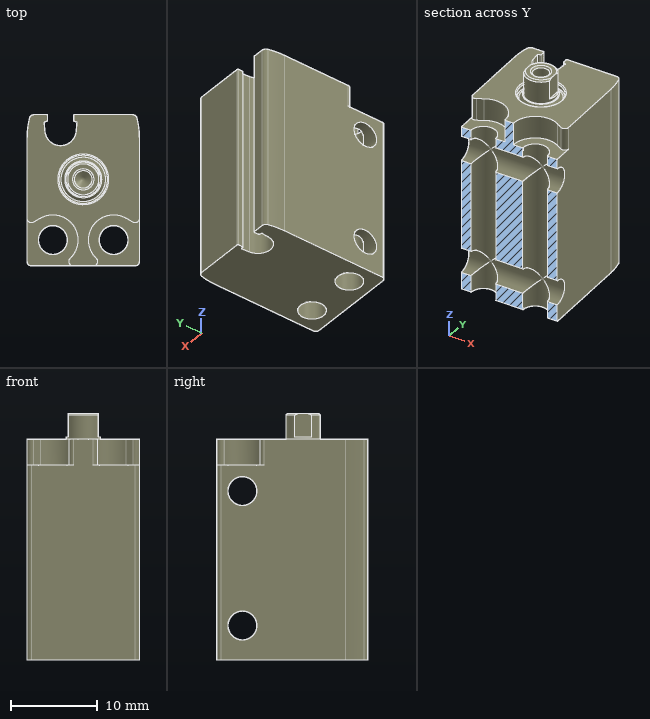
import cadquery as cq
import math

width = 13.0
depth = 17.5
total_height = 28.5
rod_projection = 3.0
housing_height = total_height - rod_projection
half_width = width / 2
corner_radius = 0.5
flank_radius = 9.0
flank_length = 2.62
back_corner_radius = 0.6

hole_diameter = 3.3
hole_x = 3.5
hole_y = 3.0
cross_hole_heights = (4.0, 19.52)
pocket_radius = 2.9
pocket_depth = 3.0
outer_wall_angle = 30.0
inner_wall_angle = 45.0

slot_x = -2.62
slot_depth = 3.6
slot_radius = 1.8
slot_taper = 5.0
throat_width = 3.0
lip_depth = 0.77
lip_slope = 0.1
lip_fillet = 0.1

rod_y = 10.0
rod_diameter = 4.0
rod_embedded = 9.98
rod_chamfer = 0.2
rod_flats = 3.48
flat_start = 0.28
bore_diameter = 2.02
bore_mouth_diameter = 2.45
bore_depth = 5.0
drill_point_angle = 118.0
seat_mouth_diameter = 5.87
seat_diameter = 5.6
seat_depth = 0.68
wiper_base_diameter = 5.13
wiper_top_diameter = 4.28
wiper_top_depth = 0.17


def polar(center, radius, degrees):
    """Point on a circle, with the angle measured from +X."""
    angle = math.radians(degrees)
    return (center[0] + radius * math.cos(angle), center[1] + radius * math.sin(angle))


def make_block():
    flank_start = depth - flank_length
    flank_center_x = half_width - flank_radius

    def flank_x(y):
        return flank_center_x + math.sqrt(flank_radius ** 2 - (y - flank_start) ** 2)

    middle_y = depth - flank_length / 2
    block = (
        cq.Workplane("XY")
        .moveTo(-half_width, 0)
        .lineTo(half_width, 0)
        .lineTo(half_width, flank_start)
        .threePointArc((flank_x(middle_y), middle_y), (flank_x(depth), depth))
        .lineTo(-flank_x(depth), depth)
        .threePointArc((-flank_x(middle_y), middle_y), (-half_width, flank_start))
        .close()
        .extrude(housing_height)
    )
    block = block.edges("|Z and <Y").fillet(corner_radius)
    return block.edges("|Z and >Y").fillet(back_corner_radius)


def make_slot():
    center = (slot_x, depth - slot_depth + slot_radius)
    side_y = depth - lip_depth - lip_slope
    tangent_right = polar(center, slot_radius, -slot_taper)
    side_offset = (
        tangent_right[0] - slot_x
        + (side_y - tangent_right[1]) * math.tan(math.radians(slot_taper))
    )
    throat = throat_width / 2
    lip_y = depth - lip_depth
    return (
        cq.Workplane("XY")
        .moveTo(slot_x - throat, depth)
        .lineTo(slot_x - throat, lip_y)
        .lineTo(slot_x - side_offset, side_y)
        .lineTo(*polar(center, slot_radius, 180 + slot_taper))
        .threePointArc((slot_x, depth - slot_depth), tangent_right)
        .lineTo(slot_x + side_offset, side_y)
        .lineTo(slot_x + throat, lip_y)
        .lineTo(slot_x + throat, depth)
        .close()
        .extrude(housing_height)
    )


def round_slot_lips(body):
    for side in (-1, 1):
        for y in (depth, depth - lip_depth):
            edge_point = (slot_x + side * throat_width / 2, y, housing_height / 2)
            body = body.edges(cq.selectors.NearestToPointSelector(edge_point)).fillet(lip_fillet)
    return body


def make_left_pocket():
    """Relief around the left hole; its wall blends into rounded ends at both faces."""
    center = (-hole_x, hole_y)
    wall_distance = pocket_radius + corner_radius

    outer_normal = 90 + outer_wall_angle
    outer_x = -half_width + corner_radius
    normal_angle = math.radians(outer_normal)
    outer_y = hole_y + (
        (wall_distance - (outer_x + hole_x) * math.cos(normal_angle)) / math.sin(normal_angle)
    )
    outer_end = (outer_x, outer_y)

    inner_normal = -inner_wall_angle
    inner_y = corner_radius
    normal_angle = math.radians(inner_normal)
    inner_x = -hole_x + (
        (wall_distance - (inner_y - hole_y) * math.sin(normal_angle)) / math.cos(normal_angle)
    )
    inner_end = (inner_x, inner_y)

    arc_middle = (outer_normal + inner_normal) / 2
    outer_contact = outer_normal + 180
    inner_contact = inner_normal + 180
    return (
        cq.Workplane("XY", origin=(0, 0, housing_height - pocket_depth))
        .moveTo(-half_width, 0)
        .lineTo(-half_width, outer_y)
        .threePointArc(
            polar(outer_end, corner_radius, (180 + outer_contact) / 2),
            polar(outer_end, corner_radius, outer_contact),
        )
        .lineTo(*polar(center, pocket_radius, outer_normal))
        .threePointArc(
            polar(center, pocket_radius, arc_middle),
            polar(center, pocket_radius, inner_normal),
        )
        .lineTo(*polar(inner_end, corner_radius, inner_contact))
        .threePointArc(
            polar(inner_end, corner_radius, (inner_contact + 270) / 2),
            (inner_x, 0),
        )
        .close()
        .extrude(pocket_depth)
    )


def make_mounting_holes():
    holes = (
        cq.Workplane("XY")
        .pushPoints([(-hole_x, hole_y), (hole_x, hole_y)])
        .circle(hole_diameter / 2)
        .extrude(housing_height)
    )
    cross_holes = (
        cq.Workplane("YZ", origin=(-half_width, 0, 0))
        .pushPoints([(hole_y, z) for z in cross_hole_heights])
        .circle(hole_diameter / 2)
        .extrude(width)
    )
    return holes.union(cross_holes)


def make_rod_seat():
    """Rod bore, opening into a chamfered recess with a conical wiper lip left standing."""
    mouth_chamfer = (seat_mouth_diameter - seat_diameter) / 2
    return (
        cq.Workplane("XZ", origin=(0, rod_y, housing_height))
        .moveTo(0, -rod_embedded)
        .lineTo(rod_diameter / 2, -rod_embedded)
        .lineTo(rod_diameter / 2, -wiper_top_depth)
        .lineTo(wiper_top_diameter / 2, -wiper_top_depth)
        .lineTo(wiper_base_diameter / 2, -seat_depth)
        .lineTo(seat_diameter / 2, -seat_depth)
        .lineTo(seat_diameter / 2, -mouth_chamfer)
        .lineTo(seat_mouth_diameter / 2, 0)
        .lineTo(0, 0)
        .close()
        .revolve(360, (0, 0, 0), (0, 1, 0))
    )


def make_housing():
    body = round_slot_lips(make_block().cut(make_slot()))
    left_pocket = make_left_pocket()
    for pocket in (left_pocket, left_pocket.mirror("YZ")):
        body = body.cut(pocket)
    return body.cut(make_mounting_holes()).cut(make_rod_seat())


def make_rod():
    length = rod_embedded + rod_projection
    rod = (
        cq.Workplane("XY", origin=(0, rod_y, housing_height - rod_embedded))
        .circle(rod_diameter / 2)
        .extrude(length)
        .faces(">Z").edges().chamfer(rod_chamfer)
    )

    flat_height = rod_projection - flat_start
    flat_cut_depth = (rod_diameter - rod_flats) / 2
    for side in (-1, 1):
        flat_cut = cq.Workplane("XY").box(
            flat_cut_depth, rod_diameter, flat_height, centered=(True, True, False)
        )
        cut_x = side * (rod_flats + flat_cut_depth) / 2
        rod = rod.cut(flat_cut.translate((cut_x, rod_y, housing_height + flat_start)))

    bore_radius = bore_diameter / 2
    mouth_radius = bore_mouth_diameter / 2
    point_depth = bore_radius / math.tan(math.radians(drill_point_angle / 2))
    bore = (
        cq.Workplane("XZ", origin=(0, rod_y, total_height))
        .moveTo(0, 0)
        .lineTo(mouth_radius, 0)
        .lineTo(bore_radius, bore_radius - mouth_radius)
        .lineTo(bore_radius, -bore_depth)
        .lineTo(0, -bore_depth - point_depth)
        .close()
        .revolve(360, (0, 0, 0), (0, 1, 0))
    )
    return rod.cut(bore)


housing = make_housing()
rod = make_rod()
result = cq.Compound.makeCompound([housing.val(), rod.val()])